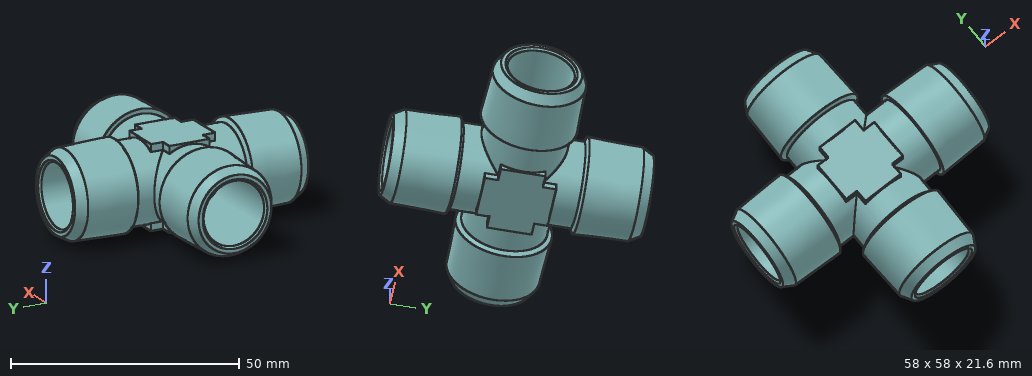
import cadquery as cq

arm_angles = (0, 90, 180, 270)
arm_length = 29.0
neck_radius = 19.3 / 2

collar_radius = 21.65 / 2
collar_tip_radius = 10.45
collar_start = 14.25
plain_collar_start = 14.75
shoulder_length = 0.7
end_chamfer_length = 2.5
end_face_radius = 9.05

bore_radius = 15.0 / 2
mouth_chamfer = 0.5

pad_length = 15.95
pad_width = 10.0
pad_height = 10.1


def revolve_about_x(points):
    """Revolve a closed (distance along X, radius) outline about the X axis."""
    return cq.Workplane("XY").polyline(points).close().revolve(360, (0, 0, 0), (1, 0, 0))


def make_arm(square_shoulder):
    """Solid arm along +X: plain neck, shoulder, tapered collar, end chamfer."""
    if square_shoulder:
        shoulder = [
            (plain_collar_start, neck_radius),
            (plain_collar_start, collar_radius),
        ]
    else:
        shoulder = [
            (collar_start - shoulder_length, neck_radius),
            (collar_start, collar_radius),
        ]
    outline = [
        (0, 0),
        (0, neck_radius),
        *shoulder,
        (arm_length - end_chamfer_length, collar_tip_radius),
        (arm_length, end_face_radius),
        (arm_length, 0),
    ]
    return revolve_about_x(outline)


def make_bore():
    """Straight bore along +X with a 45 degree chamfer at its mouth."""
    return revolve_about_x([
        (0, 0),
        (0, bore_radius),
        (arm_length - mouth_chamfer, bore_radius),
        (arm_length, bore_radius + mouth_chamfer),
        (arm_length, 0),
    ])


def make_pads():
    """Two crossed blocks through the centre; their top and bottom stand out as pads."""
    along_x = cq.Workplane("XY").box(pad_length, pad_width, 2 * pad_height)
    along_y = cq.Workplane("XY").box(pad_width, pad_length, 2 * pad_height)
    return along_x.union(along_y)


body = make_pads()
for angle in arm_angles:
    arm = make_arm(square_shoulder=(angle == 0))
    body = body.union(arm.rotate((0, 0, 0), (0, 0, 1), angle))

for angle in arm_angles:
    body = body.cut(make_bore().rotate((0, 0, 0), (0, 0, 1), angle))

result = body